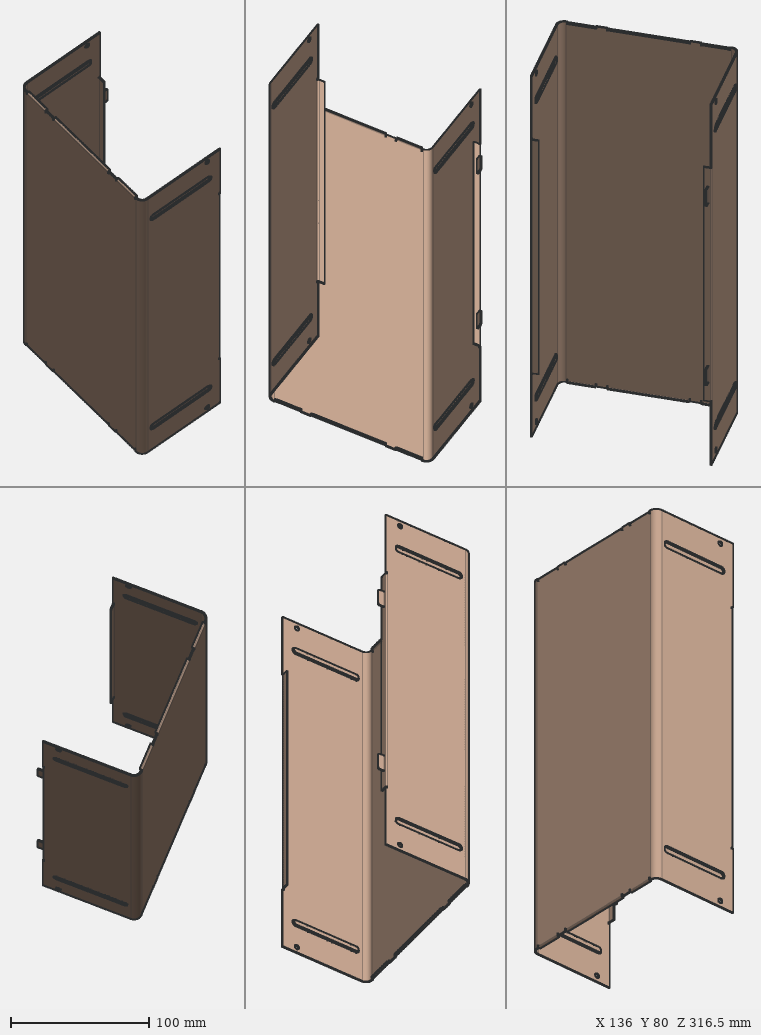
import cadquery as cq
import math

width = 136.0
depth = 75.0
height = 316.5
sheet = 1.0
corner_radius = 6.0
fold_inside = 0.13
bend_radius = sheet + fold_inside

hem_relief = 0.5
hem_relief_depth = 2.05
hem_inset = 7.3
side_hem_length = 21.0
middle_hem_length = 61.5
hem_depth = 2.2

lip_width = 6.0
lip_length = 205.0
lip_relief = 1.0

tongue_height = 5.0
tongue_length = 14.5
tongue_spacing = 157.5
tongue_offset = 2.37
tongue_corner = 1.5
tongue_foot_radius = 0.3

groove_length = 58.0
groove_width = 6.0
groove_depth = 1.0
groove_slope = 45.0
groove_from_back = 37.3
groove_from_end = 27.5

hole_diameter = 3.8
hole_from_back = 12.3
hole_from_end = 5.0

middle = height / 2


def both_ends(inset):
    """Heights at the same distance from the bottom and the top end."""
    return (inset, height - inset)


def block(x_range, y_range, z_range):
    """Axis-aligned box between the given limits."""
    size = [high - low for low, high in (x_range, y_range, z_range)]
    corner = (x_range[0], y_range[0], z_range[0])
    return cq.Workplane("XY").box(*size, centered=False).translate(corner)


def make_channel():
    """U-shaped sheet with rounded corners, open to the back."""
    outer = (
        block((-width / 2, width / 2), (0, depth), (0, height))
        .edges("|Z and <Y").fillet(corner_radius)
    )
    inner = (
        block((sheet - width / 2, width / 2 - sheet), (sheet, depth), (0, height))
        .edges("|Z and <Y").fillet(corner_radius - sheet)
    )
    return outer.cut(inner)


def fold_section(plane, length):
    """L-shaped fold: a quarter bend, then a flat strip reaching `length` along the first axis."""
    diagonal = math.sqrt(0.5)
    outer_middle = bend_radius * (1 - diagonal)
    inner_middle = bend_radius - fold_inside * diagonal
    return (
        cq.Workplane(plane)
        .moveTo(0, bend_radius)
        .threePointArc((outer_middle, outer_middle), (bend_radius, 0))
        .lineTo(length, 0)
        .lineTo(length, sheet)
        .lineTo(bend_radius, sheet)
        .threePointArc((inner_middle, inner_middle), (sheet, bend_radius))
        .close()
    )


def add_lips(body):
    """Inward lips on the middle stretch of the side walls, the left one mirrored to the right."""
    bottom = middle - lip_length / 2
    top = middle + lip_length / 2
    clearance = block(
        (-width / 2, sheet - width / 2),
        (depth - bend_radius, depth),
        (bottom - lip_relief, top + lip_relief),
    )
    lip_plane = cq.Plane(origin=(-width / 2, depth, bottom), xDir=(1, 0, 0), normal=(0, 0, -1))
    lip = fold_section(lip_plane, lip_width).extrude(-lip_length)
    for cutter, added in ((clearance, lip), (clearance.mirror("YZ"), lip.mirror("YZ"))):
        body = body.cut(cutter).union(added)
    return body


def add_tongues(body):
    """Two upright tongues standing on the left lip."""
    left = tongue_offset - width / 2
    for centre in both_ends((height - tongue_spacing) / 2):
        tongue = block(
            (left, left + sheet),
            (depth - sheet, depth + tongue_height),
            (centre - tongue_length / 2, centre + tongue_length / 2),
        )
        body = body.union(tongue.edges("|X and >Y").fillet(tongue_corner))
        foot = cq.selectors.NearestToPointSelector((left, depth, centre))
        body = body.edges(foot).fillet(tongue_foot_radius)
    return body


def add_hems(body):
    """Three short inward folds at each end of the front wall, with a relief notch beside each."""
    side_hem_centre = width / 2 - hem_inset - side_hem_length / 2
    mid_point = (0, 0, middle)
    hems = (
        (-side_hem_centre, side_hem_length),
        (0, middle_hem_length),
        (side_hem_centre, side_hem_length),
    )
    for centre, length in hems:
        left = centre - length / 2
        right = centre + length / 2
        notch = block(
            (left - hem_relief, right + hem_relief), (0, sheet), (height - hem_relief_depth, height)
        )
        wall = block((left, right), (0, sheet), (height - hem_relief_depth, height - bend_radius))
        fold_plane = cq.Plane(origin=(left, 0, height), xDir=(0, 1, 0), normal=(-1, 0, 0))
        hem = wall.union(fold_section(fold_plane, hem_depth).extrude(-length))
        body = body.cut(notch).union(hem)
        body = body.cut(notch.mirror("XY", mid_point)).union(hem.mirror("XY", mid_point))
    return body


def groove_shape(plane):
    """Round-ended bar narrowing along the plane normal by the groove depth."""
    return (
        cq.Workplane(plane)
        .slot2D(groove_length, groove_width)
        .extrude(groove_depth, taper=groove_slope)
    )


def add_grooves(body):
    """Grooves pressed into the outside of both side walls, raised on the inside."""
    for side in (-1, 1):
        for level in both_ends(groove_from_end):
            y = depth - groove_from_back
            x = side * width / 2
            inward = (-side, 0, 0)
            outside = cq.Plane(origin=(x, y, level), xDir=(0, 1, 0), normal=inward)
            inside = cq.Plane(origin=(x - side * sheet, y, level), xDir=(0, 1, 0), normal=inward)
            body = body.union(groove_shape(inside)).cut(groove_shape(outside))
    return body


def cut_holes(body):
    """Round holes through both side walls near the back corners."""
    for level in both_ends(hole_from_end):
        drill = (
            cq.Workplane("YZ", origin=(-width / 2, depth - hole_from_back, level))
            .circle(hole_diameter / 2)
            .extrude(width)
        )
        body = body.cut(drill)
    return body


result = make_channel()
result = add_lips(result)
result = add_tongues(result)
result = add_hems(result)
result = add_grooves(result)
result = cut_holes(result)